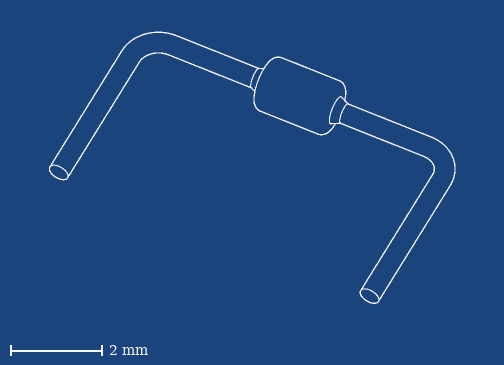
import cadquery as cq

overall_width = 8.08
body_diameter = 1.27
body_length = 1.76
body_edge_radius = 0.18
lead_diameter = 0.46
lead_reach = 4.23
bend_radius = 0.68
collar_diameter = 0.64
collar_length = 0.21

lead_radius = lead_diameter / 2
lead_x = overall_width / 2 - lead_radius


def make_body():
    """Cylindrical body with rounded end rims."""
    return (
        cq.Workplane("YZ", origin=(-body_length / 2, 0, 0))
        .circle(body_diameter / 2)
        .extrude(body_length)
        .edges("%CIRCLE")
        .fillet(body_edge_radius)
    )


def make_lead():
    """One continuous wire through the body, bent toward -Y at both ends."""
    path = (
        cq.Workplane("XY")
        .moveTo(-lead_x, -lead_reach)
        .lineTo(-lead_x, -bend_radius)
        .radiusArc((-lead_x + bend_radius, 0), bend_radius)
        .lineTo(lead_x - bend_radius, 0)
        .radiusArc((lead_x, -bend_radius), bend_radius)
        .lineTo(lead_x, -lead_reach)
    )
    return (
        cq.Workplane("XZ", origin=(-lead_x, -lead_reach, 0))
        .circle(lead_radius)
        .sweep(path)
    )


def make_collars():
    """Tapered collars that narrow from each body end down to the lead."""
    body_end = body_length / 2
    tip = body_end + collar_length
    collar = (
        cq.Workplane("XY")
        .moveTo(body_end, 0)
        .lineTo(body_end, collar_diameter / 2)
        .lineTo(tip, lead_radius)
        .lineTo(tip, 0)
        .close()
        .revolve(360, (0, 0, 0), (1, 0, 0))
    )
    return collar.union(collar.mirror("YZ"))


result = make_body().union(make_lead()).union(make_collars())